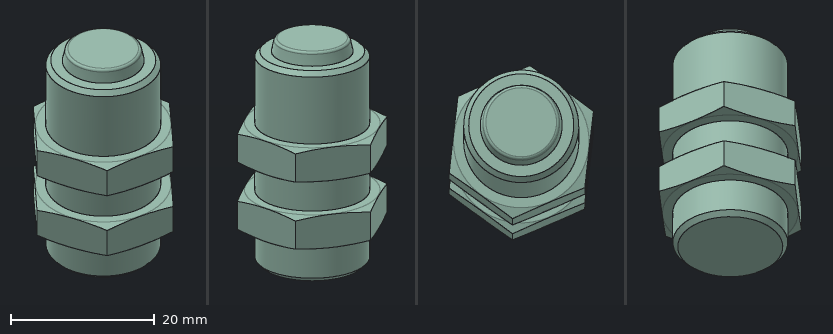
import cadquery as cq
import math

total_height = 33.5
tip_height = 1.98
body_top = total_height - tip_height

body_diameter = 16.0
body_radius = body_diameter / 2
chamfer_width = 0.7
chamfer_height = 0.7

tip_base_radius = 5.7
tip_top_radius = 5.25
tip_edge_radius = 0.45

across_flats = 19.0
across_corners = across_flats / math.cos(math.radians(30))
nut_height = 5.02
nut_bottoms = [5.73, 15.78]
nut_face_radius = across_flats / 2 - 0.07
nut_chamfer_angle = 15.0


def make_body():
    """Round body with chamfered ends and a tapered, rounded tip."""
    barrel = (
        cq.Workplane("XZ")
        .moveTo(0, 0)
        .lineTo(body_radius - chamfer_width, 0)
        .lineTo(body_radius, chamfer_height)
        .lineTo(body_radius, body_top - chamfer_height)
        .lineTo(body_radius - chamfer_width, body_top)
        .lineTo(0, body_top)
        .close()
        .revolve(360, (0, 0), (0, 1))
    )
    tip = (
        cq.Workplane("XZ")
        .moveTo(0, body_top)
        .lineTo(tip_base_radius, body_top)
        .lineTo(tip_top_radius, total_height)
        .lineTo(0, total_height)
        .close()
        .revolve(360, (0, 0), (0, 1))
        .faces(">Z")
        .edges()
        .fillet(tip_edge_radius)
    )
    return barrel.union(tip)


def make_nut(bottom):
    """Hexagonal nut with corners along Y, coned on both faces and bored for the body."""
    corner_radius = across_corners / 2
    cone_drop = (corner_radius - nut_face_radius) * math.tan(math.radians(nut_chamfer_angle))
    hexagon = (
        cq.Workplane("XY")
        .polygon(6, across_corners)
        .extrude(nut_height)
        .rotate((0, 0, 0), (0, 0, 1), 90)
    )
    corner_envelope = (
        cq.Workplane("XZ")
        .moveTo(0, 0)
        .lineTo(nut_face_radius, 0)
        .lineTo(corner_radius, cone_drop)
        .lineTo(corner_radius, nut_height - cone_drop)
        .lineTo(nut_face_radius, nut_height)
        .lineTo(0, nut_height)
        .close()
        .revolve(360, (0, 0), (0, 1))
    )
    bore = cq.Workplane("XY").circle(body_radius).extrude(nut_height)
    return hexagon.intersect(corner_envelope).cut(bore).translate((0, 0, bottom))


body = make_body()
nuts = [make_nut(bottom) for bottom in nut_bottoms]

result = cq.Compound.makeCompound([body.val(), *[nut.val() for nut in nuts]])